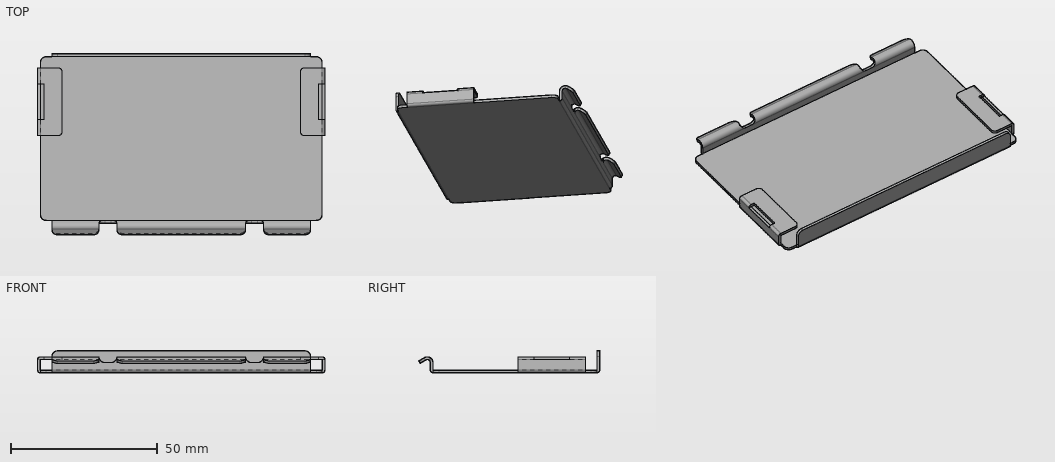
import cadquery as cq
import math

length = 98.0
width = 61.7
thickness = 1.0
bend_radius = thickness
bend_middle = bend_radius * math.sqrt(0.5)
corner_radius = 2.0

base_length = length - 2 * thickness
base_width = 55.9
back_face = width / 2
base_back = back_face - thickness
base_front = base_back - base_width

wall_length = 88.2
back_height = 7.5

clip_height = 5.5
clip_reach = 8.4
clip_width = 23.1
clip_setback = 4.8
clip_corner_radius = 1.5
slot_width = 12.2
slot_reach = 2.3
clip_center = back_face - clip_setback - clip_width / 2

hook_height = clip_height
roll_radius = 2.0
roll_inner_radius = roll_radius - thickness
roll_center_y = base_front - roll_radius
roll_center_z = hook_height - roll_radius
lip_angle = math.radians(30)
hook_front = -width / 2

notch_width = 6.1
notch_spacing = 50.0
front_wall_face = base_front - thickness


def centered_box(size_x, y_min, y_max, z_min, z_max):
    box = cq.Workplane("XY").box(size_x, y_max - y_min, z_max - z_min, centered=(True, False, False))
    return box.translate((0, y_min, z_min))


def make_base():
    base = centered_box(base_length, base_front, base_back, 0, thickness)
    return base.edges("|Z").fillet(corner_radius)


def make_back_wall():
    wall = (
        cq.Workplane("YZ")
        .moveTo(base_back, 0)
        .threePointArc((base_back + bend_middle, bend_radius - bend_middle), (back_face, bend_radius))
        .lineTo(back_face, back_height)
        .lineTo(base_back, back_height)
        .close()
        .extrude(wall_length / 2, both=True)
    )
    return wall.edges("|Y and >Z").fillet(corner_radius)


def make_left_clip():
    """C-shaped clip on the -X edge, open toward the middle of the plate."""
    outer = -length / 2
    inner = outer + thickness
    tip = outer + clip_reach
    under = clip_height - thickness
    clip = (
        cq.Workplane("XZ")
        .moveTo(inner, 0)
        .threePointArc((inner - bend_middle, bend_radius - bend_middle), (outer, bend_radius))
        .lineTo(outer, under)
        .threePointArc((inner - bend_middle, under + bend_middle), (inner, clip_height))
        .lineTo(tip, clip_height)
        .lineTo(tip, under)
        .lineTo(inner, under)
        .close()
        .extrude(clip_width / 2, both=True)
    )
    clip = clip.edges("|Z and >X").fillet(clip_corner_radius)
    slot = (
        cq.Workplane("XY")
        .box(slot_reach, slot_width, thickness, centered=(False, True, False))
        .translate((outer, 0, under))
    )
    return clip.cut(slot).translate((0, clip_center, 0))


def roll_point(radius, angle):
    """Point on the roll, with the angle measured from straight up toward -Y."""
    return roll_center_y - radius * math.sin(angle), roll_center_z + radius * math.cos(angle)


def make_hook():
    along_y = -math.cos(lip_angle)
    along_z = -math.sin(lip_angle)
    lip_top = roll_point(roll_radius, lip_angle)
    lip_under = roll_point(roll_inner_radius, lip_angle)
    lip_length = (hook_front - lip_top[0]) / along_y
    tip_top = (lip_top[0] + lip_length * along_y, lip_top[1] + lip_length * along_z)
    tip_under = (lip_under[0] + lip_length * along_y, lip_under[1] + lip_length * along_z)

    hook = (
        cq.Workplane("YZ")
        .moveTo(base_front, 0)
        .lineTo(base_front, roll_center_z)
        .threePointArc(roll_point(roll_radius, 0), lip_top)
        .lineTo(*tip_top)
        .lineTo(*tip_under)
        .lineTo(*lip_under)
        .threePointArc(roll_point(roll_inner_radius, 0), (front_wall_face, roll_center_z))
        .lineTo(front_wall_face, bend_radius)
        .threePointArc((base_front - bend_middle, bend_radius - bend_middle), (base_front, 0))
        .close()
        .extrude(wall_length / 2, both=True)
    )

    rounded_notch = centered_box(notch_width, hook_front, base_front, roll_center_z, 2 * hook_height)
    rounded_notch = rounded_notch.edges("|Y and <Z").fillet(corner_radius)
    lip_gap = centered_box(notch_width, hook_front, front_wall_face, 0, 2 * hook_height)
    notch = rounded_notch.union(lip_gap)
    for side in (-1, 1):
        hook = hook.cut(notch.translate((side * notch_spacing / 2, 0, 0)))

    tip_edge = cq.selectors.BoxSelector(
        (-length, hook_front, 0),
        (length, hook_front + thickness, hook_height),
    )
    across_sheet = cq.Vector(0, -math.sin(lip_angle), math.cos(lip_angle))
    return hook.edges(tip_edge).edges(cq.selectors.ParallelDirSelector(across_sheet)).fillet(corner_radius)


left_clip = make_left_clip()
right_clip = left_clip.mirror("YZ")

result = make_base().union(make_back_wall()).union(left_clip).union(right_clip).union(make_hook())